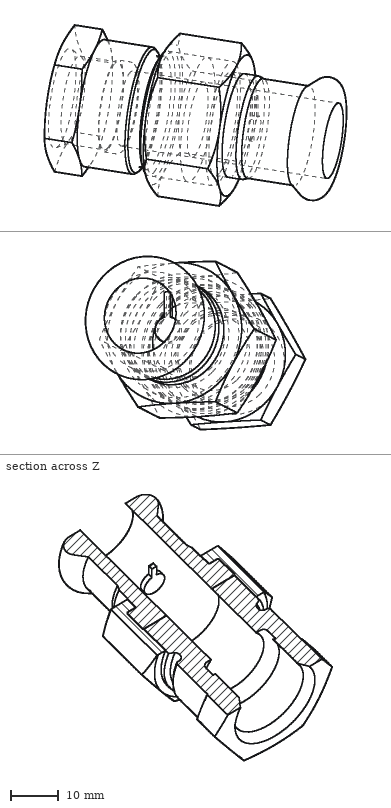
import cadquery as cq
import math

LENGTH = 59.0

BORE_D = 16.0

BARREL_D = 27.0
HOUSING_HEX_LENGTH = 7.15
HOUSING_HEX_BEVEL = 15.0
BARREL_END = 17.5
BARREL_CHAMFER = 0.4
GROOVE_D = 23.4
GROOVE_FLOOR_START = 19.0
GROOVE_FLOOR_END = 19.4
GROOVE_FILLET = 0.95
THREAD_D = 26.45
THREAD_CHAMFER_BOTTOM_D = 24.15
THREAD_CHAMFER_START = 20.3
THREAD_START = 20.9
HOUSING_END = 29.5
INLET_MOUTH_D = 21.2
INLET_D = 18.65
INLET_CHAMFER_LENGTH = 2.35
INLET_DEPTH = 10.6
RECESS_D = 19.5
RECESS_END = 14.15
RECESS_FILLET = 1.0

NUT_ACROSS_FLATS = 30.0
NUT_START = 21.95
NUT_END = 38.0
NUT_BEVEL = 30.0
NUT_LIP = 2.95

COLLAR_D = 22.0
COLLAR_END = 41.0
PIPE_D = 21.2
PIPE_START = 42.1
PIPE_END = 52.1
BEAD_D = 26.2
BEAD_RADIUS = 2.85

PLATE_D = 5.4
SPOKE_WIDTH = 1.3
PLATE_START = 41.3
PLATE_THICKNESS = 1.2


def revolve_about_x(profile):
    """Revolve a closed XY profile (x along the axis, y as radius) about X."""
    return profile.close().revolve(360, (0, 0, 0), (1, 0, 0))


def cylinder(diameter, start, end):
    return cq.Workplane("YZ", origin=(start, 0, 0)).circle(diameter / 2).extrude(end - start)


def beveled_hexagon(across_flats, start, end, bevel_angle):
    """Hexagon with corners on +-Y, its corners beveled at both ends."""
    corner_radius = across_flats / math.sqrt(3)
    flat_radius = across_flats / 2
    bevel = (corner_radius - flat_radius) * math.tan(math.radians(bevel_angle))
    prism = (
        cq.Workplane("YZ", origin=(start, 0, 0))
        .polygon(6, 2 * corner_radius)
        .extrude(end - start)
    )
    envelope = revolve_about_x(
        cq.Workplane("XY")
        .moveTo(start, 0)
        .lineTo(start, flat_radius)
        .lineTo(start + bevel, corner_radius)
        .lineTo(end - bevel, corner_radius)
        .lineTo(end, flat_radius)
        .lineTo(end, 0)
    )
    return prism.intersect(envelope)


def make_housing():
    barrel_radius = BARREL_D / 2
    groove_radius = GROOVE_D / 2
    groove_wall = GROOVE_FLOOR_START - GROOVE_FILLET
    diagonal = GROOVE_FILLET * math.sqrt(0.5)
    outside = revolve_about_x(
        cq.Workplane("XY")
        .moveTo(HOUSING_HEX_LENGTH / 2, 0)
        .lineTo(HOUSING_HEX_LENGTH / 2, barrel_radius)
        .lineTo(BARREL_END, barrel_radius)
        .lineTo(groove_wall, barrel_radius - BARREL_CHAMFER)
        .lineTo(groove_wall, groove_radius + GROOVE_FILLET)
        .threePointArc(
            (GROOVE_FLOOR_START - diagonal, groove_radius + GROOVE_FILLET - diagonal),
            (GROOVE_FLOOR_START, groove_radius),
        )
        .lineTo(GROOVE_FLOOR_END, groove_radius)
        .tangentArcPoint((THREAD_CHAMFER_START, THREAD_CHAMFER_BOTTOM_D / 2), relative=False)
        .lineTo(THREAD_START, THREAD_D / 2)
        .lineTo(HOUSING_END, THREAD_D / 2)
        .lineTo(HOUSING_END, 0)
    )
    passage = revolve_about_x(
        cq.Workplane("XY")
        .moveTo(0, 0)
        .lineTo(0, INLET_MOUTH_D / 2)
        .lineTo(INLET_CHAMFER_LENGTH, INLET_D / 2)
        .lineTo(INLET_DEPTH, INLET_D / 2)
        .lineTo(INLET_DEPTH, RECESS_D / 2)
        .lineTo(RECESS_END - RECESS_FILLET, RECESS_D / 2)
        .tangentArcPoint((RECESS_END, RECESS_D / 2 - RECESS_FILLET), relative=False)
        .lineTo(RECESS_END, BORE_D / 2)
        .lineTo(HOUSING_END, BORE_D / 2)
        .lineTo(HOUSING_END, 0)
    )
    hexagon = beveled_hexagon(BARREL_D, 0, HOUSING_HEX_LENGTH, HOUSING_HEX_BEVEL)
    return hexagon.union(outside).cut(passage)


def make_nut():
    lip_start = NUT_END - NUT_LIP
    hexagon = beveled_hexagon(NUT_ACROSS_FLATS, NUT_START, NUT_END, NUT_BEVEL)
    thread_bore = cylinder(THREAD_D, NUT_START, lip_start)
    collar_bore = cylinder(COLLAR_D, lip_start, NUT_END)
    return hexagon.cut(thread_bore).cut(collar_bore)


def make_plate():
    """Flat plate on the axis, with a spoke up to the middle of the pipe wall."""
    wall_middle = (BORE_D + PIPE_D) / 4
    spoke = (
        cq.Workplane("YZ", origin=(PLATE_START, 0, wall_middle / 2))
        .rect(SPOKE_WIDTH, wall_middle)
        .extrude(PLATE_THICKNESS)
    )
    return cylinder(PLATE_D, PLATE_START, PLATE_START + PLATE_THICKNESS).union(spoke)


def make_tail():
    flange_end = NUT_END - NUT_LIP
    pipe_radius = PIPE_D / 2
    bead_x = LENGTH - BEAD_RADIUS
    bead_y = BEAD_D / 2 - BEAD_RADIUS

    center_distance = math.hypot(bead_x - PIPE_END, bead_y - pipe_radius)
    direction_to_pipe = math.atan2(pipe_radius - bead_y, PIPE_END - bead_x)
    tangent_angle = direction_to_pipe - math.acos(BEAD_RADIUS / center_distance)

    def bead_point(angle):
        return (bead_x + BEAD_RADIUS * math.cos(angle), bead_y + BEAD_RADIUS * math.sin(angle))

    outside = revolve_about_x(
        cq.Workplane("XY")
        .moveTo(HOUSING_END, 0)
        .lineTo(HOUSING_END, THREAD_D / 2)
        .lineTo(flange_end, THREAD_D / 2)
        .lineTo(flange_end, COLLAR_D / 2)
        .lineTo(COLLAR_END, COLLAR_D / 2)
        .lineTo(PIPE_START, pipe_radius)
        .lineTo(PIPE_END, pipe_radius)
        .lineTo(*bead_point(tangent_angle))
        .threePointArc(bead_point(tangent_angle / 2), bead_point(0))
        .lineTo(LENGTH, 0)
    )
    return outside.cut(cylinder(BORE_D, HOUSING_END, LENGTH)).union(make_plate())


housing = make_housing()
nut = make_nut()
tail = make_tail()
result = cq.Compound.makeCompound([housing.val(), nut.val(), tail.val()])